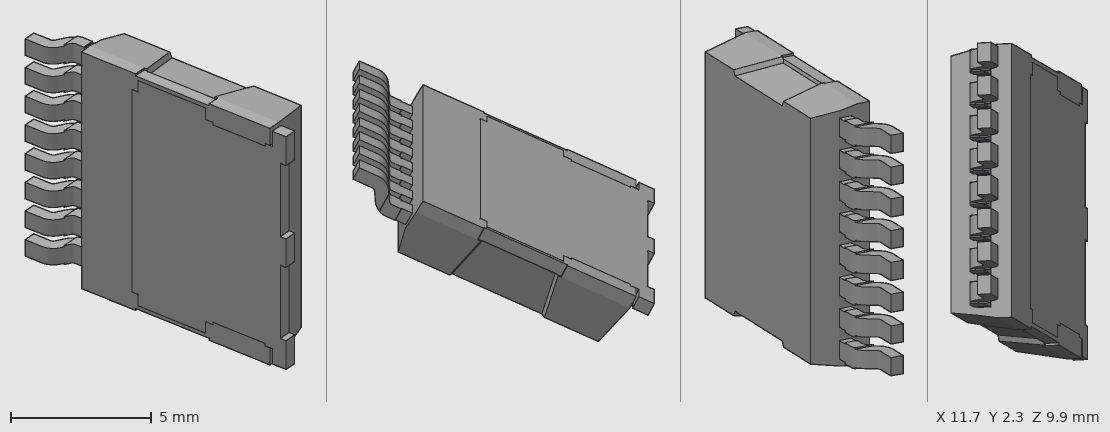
import cadquery as cq
import math

overall_length = 11.7
overall_width = 9.9
overall_depth = 2.3
metal_thickness = 0.5

parting_y = 1.26
lead_face_x = 2.46
lead_face_foot_x = 2.53
lead_face_back_x = 2.68
tab_face_x = 10.97
tab_face_back_x = 10.61
back_width = 9.29

base_recess_start = 4.95
base_recess_end = 8.25
base_recess_depth = 0.08
clamp_foot_start = 5.07
clamp_foot_end = 8.12
clamp_flare = 0.35
clamp_overrun = 1.5
clamp_depth = 0.2
clamp_wall_draft = 28.0
clamp_foot_drop = 0.04

slab_start = 4.8
slab_end = 11.44
slab_width = 8.47
ear_start = 5.07
ear_end = 8.1
ear_width = 9.42
notch_start = 8.41
notch_end = 10.75
notch_depth = 0.1
wing_start = 11.08
wing_inner_width = 7.32
wing_outer_width = 9.73
middle_tab_width = 1.19

lead_count = 8
lead_span = 8.4
lead_width = 0.69
dambar_width = 0.8
dambar_start = 1.39
dambar_end = 2.05
foot_length = 0.75
bend_angle = math.radians(60)
inner_bend_radius = 0.16


def plate(x_start, x_end, z_low, z_high, thickness=metal_thickness):
    """Block standing on the mounting face."""
    size = (x_end - x_start, thickness, z_high - z_low)
    return cq.Workplane("XY").box(*size, centered=False).translate((x_start, 0, z_low))


def centred_plate(x_start, x_end, width):
    """Plate centred on Z = 0."""
    return plate(x_start, x_end, -width / 2, width / 2)


def with_mirror(shape):
    """Shape together with its mirror image across Z = 0."""
    return shape.union(shape.mirror("XY"))


def make_slab():
    body = centred_plate(slab_start, slab_end, slab_width)
    ears = centred_plate(ear_start, ear_end, ear_width)
    middle_tab = centred_plate(slab_end, overall_length, middle_tab_width)
    wing = plate(wing_start, overall_length, wing_inner_width / 2, wing_outer_width / 2)
    notch = plate(notch_start, notch_end, slab_width / 2 - notch_depth, slab_width / 2)
    return body.union(ears).union(middle_tab).union(with_mirror(wing)).cut(with_mirror(notch))


def make_clamp_recess():
    """Drafted trapezoid sunk square into the sloping +Z side and open at the back."""
    rise = overall_depth - metal_thickness
    inset = (overall_width - back_width) / 2
    slope_length = math.hypot(rise, inset)
    back_reach = clamp_overrun * slope_length
    flare = clamp_flare * clamp_overrun
    slope = cq.Plane(
        origin=(0, metal_thickness, overall_width / 2), xDir=(1, 0, 0), normal=(0, -inset, -rise)
    )
    return (
        cq.Workplane(slope)
        .moveTo(clamp_foot_start, clamp_foot_drop)
        .lineTo(clamp_foot_end, clamp_foot_drop)
        .lineTo(clamp_foot_end + flare, -back_reach)
        .lineTo(clamp_foot_start - flare, -back_reach)
        .close()
        .extrude(clamp_depth, taper=clamp_wall_draft)
    )


def make_housing(slab):
    side_profile = (
        cq.Workplane("XY")
        .moveTo(lead_face_foot_x, 0)
        .lineTo(tab_face_x, 0)
        .lineTo(tab_face_x, metal_thickness)
        .lineTo(tab_face_back_x, overall_depth)
        .lineTo(lead_face_back_x, overall_depth)
        .lineTo(lead_face_x, parting_y)
        .close()
        .extrude(overall_width / 2, both=True)
    )
    end_profile = (
        cq.Workplane("YZ")
        .moveTo(0, -overall_width / 2)
        .lineTo(metal_thickness, -overall_width / 2)
        .lineTo(overall_depth, -back_width / 2)
        .lineTo(overall_depth, back_width / 2)
        .lineTo(metal_thickness, overall_width / 2)
        .lineTo(0, overall_width / 2)
        .close()
        .extrude(overall_length)
    )
    base_recess = plate(
        base_recess_start, base_recess_end, overall_width / 2 - base_recess_depth, overall_width / 2
    )
    return (
        side_profile.intersect(end_profile)
        .cut(with_mirror(base_recess))
        .cut(with_mirror(make_clamp_recess()))
        .cut(slab)
    )


def lead_face_at(y):
    """X of the housing's lead-side face at a level below the parting line."""
    return lead_face_foot_x + (lead_face_x - lead_face_foot_x) * y / parting_y


def lead_strip(width):
    """Gull-wing strip from the foot tip to the housing, centred on Z = 0."""
    outer_bend_radius = inner_bend_radius + metal_thickness
    upper_y = parting_y - metal_thickness

    bend_radii = inner_bend_radius + outer_bend_radius
    ramp_rise = upper_y - bend_radii * (1 - math.cos(bend_angle))
    bend_run = bend_radii * math.sin(bend_angle) + ramp_rise / math.tan(bend_angle)
    lower_centre = (foot_length, outer_bend_radius)
    upper_centre = (foot_length + bend_run, upper_y - inner_bend_radius)

    def on_lower(radius, angle):
        return (
            lower_centre[0] + radius * math.sin(angle),
            lower_centre[1] - radius * math.cos(angle),
        )

    def on_upper(radius, angle):
        return (
            upper_centre[0] - radius * math.sin(angle),
            upper_centre[1] + radius * math.cos(angle),
        )

    half_angle = bend_angle / 2
    return (
        cq.Workplane("XY")
        .moveTo(0, 0)
        .lineTo(*on_lower(outer_bend_radius, 0))
        .threePointArc(on_lower(outer_bend_radius, half_angle), on_lower(outer_bend_radius, bend_angle))
        .lineTo(*on_upper(inner_bend_radius, bend_angle))
        .threePointArc(on_upper(inner_bend_radius, half_angle), on_upper(inner_bend_radius, 0))
        .lineTo(lead_face_at(upper_y), upper_y)
        .lineTo(lead_face_x, parting_y)
        .lineTo(*on_upper(outer_bend_radius, 0))
        .threePointArc(on_upper(outer_bend_radius, half_angle), on_upper(outer_bend_radius, bend_angle))
        .lineTo(*on_lower(inner_bend_radius, bend_angle))
        .threePointArc(on_lower(inner_bend_radius, half_angle), on_lower(inner_bend_radius, 0))
        .lineTo(0, metal_thickness)
        .close()
        .extrude(width / 2, both=True)
    )


def make_lead():
    dambar_zone = plate(dambar_start, dambar_end, -dambar_width / 2, dambar_width / 2, parting_y)
    dambar = lead_strip(dambar_width).intersect(dambar_zone)
    return lead_strip(lead_width).union(dambar)


slab = make_slab()
housing = make_housing(slab)

lead = make_lead()
lead_pitch = lead_span / (lead_count - 1)
leads = []
for index in range(lead_count):
    leads.append(lead.translate((0, 0, index * lead_pitch - lead_span / 2)).val())

result = cq.Compound.makeCompound([housing.val(), slab.val(), *leads])